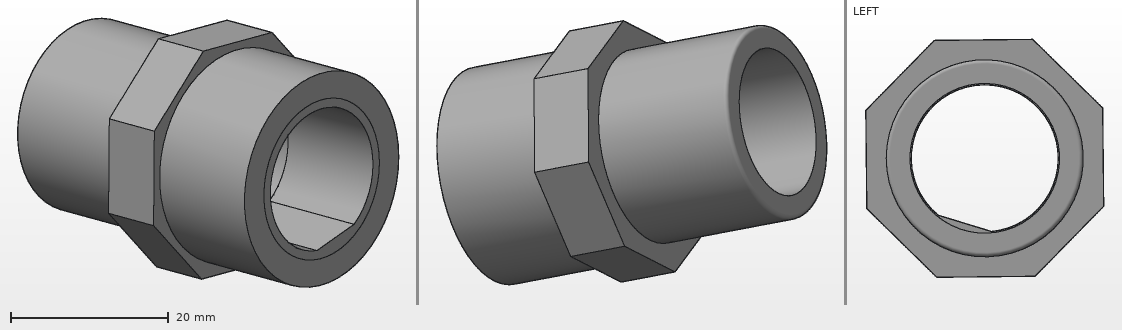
import cadquery as cq

male_length = 19.0
hex_length = 8.0
overall_length = 42.0
socket_start = male_length + hex_length
socket_length = overall_length - socket_start

male_diameter = 25.0
socket_diameter = 28.0
bore_diameter = 19.0
recess_diameter = 20.95
sleeve_bore_diameter = 18.6
end_fillet = 0.5

collar_sides = 8
collar_across_flats = 30.07
collar_turn = -0.6

flat_distance = 8.6
flat_tilt = 17.0


def cylinder(diameter, start, length):
    """Solid cylinder on the X axis, beginning at x = start."""
    return cq.Workplane("YZ", origin=(start, 0, 0)).circle(diameter / 2).extrude(length)


def make_collar():
    """Octagonal prism with its flats almost square to Y and Z."""
    return (
        cq.Workplane("YZ", origin=(male_length, 0, 0))
        .transformed(rotate=(0, 0, collar_turn))
        .polygon(collar_sides, collar_across_flats, circumscribed=True)
        .extrude(hex_length)
    )


def make_fitting():
    """Pipe fitting: rounded male end, collar and recessed socket end."""
    male_end = cylinder(male_diameter, 0, male_length).faces("<X").edges().fillet(end_fillet)
    socket_end = cylinder(socket_diameter, socket_start, socket_length)
    bore = cylinder(bore_diameter, 0, overall_length)
    recess = cylinder(recess_diameter, socket_start, socket_length)
    return male_end.union(make_collar()).union(socket_end).cut(bore).cut(recess)


def make_sleeve():
    """Sleeve filling the socket recess, with a flat in its bore."""
    box_height = sleeve_bore_diameter / 2 + flat_distance
    opening_box = (
        cq.Workplane("YZ", origin=(socket_start, 0, 0))
        .center(0, box_height / 2 - flat_distance)
        .rect(sleeve_bore_diameter, box_height)
        .extrude(socket_length)
        .rotate((0, 0, 0), (1, 0, 0), flat_tilt)
    )
    opening = cylinder(sleeve_bore_diameter, socket_start, socket_length).intersect(opening_box)
    return cylinder(recess_diameter, socket_start, socket_length).cut(opening)


fitting = make_fitting()
sleeve = make_sleeve()

result = cq.Compound.makeCompound([fitting.solids().val(), sleeve.solids().val()])